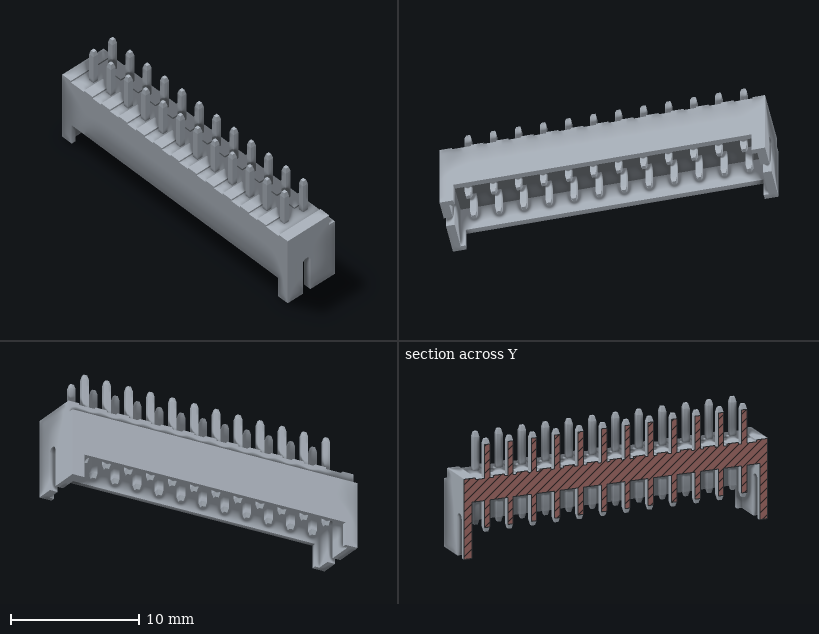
import cadquery as cq

length = 26.0
depth = 5.0
height = 6.6
end_wall = 0.7
side_wall = 0.4
leg_width = 1.1
floor_thickness = 2.0
skirt_height = 1.95

rebate_depth = 0.6
rebate_height = 1.0

slot_width = 0.8
slot_top = 3.55
slot_center_y = 2.0
slot_corner_radius = 0.35

pitch = 2.0
pins_per_row = 12
row_positions = (1.5, 3.5)
pin_width = 0.5
pin_tip_width = 0.3
pin_tip_length = 0.4
pin_top = 9.6
pin_bottom = 2.0

standoff_height = 0.15
pad_width = 1.0
end_pad_width = 1.0
channel_front = 2.0
channel_back = 3.0

pin_positions = [(i - (pins_per_row - 1) / 2) * pitch for i in range(pins_per_row)]
deck_height = height - standoff_height
back_edge = depth - rebate_depth


def box(x_min, x_max, y_min, y_max, z_min, z_max):
    """Axis-aligned block between two corners."""
    size = (x_max - x_min, y_max - y_min, z_max - z_min)
    return cq.Workplane("XY").box(*size, centered=False).translate((x_min, y_min, z_min))


def make_housing():
    """Open-bottomed shell with end legs, a back rebate and slotted end walls."""
    half = length / 2
    cavity_half = half - end_wall
    skirt_half = half - leg_width
    body = box(-half, half, 0, depth, 0, deck_height)
    rebate = box(-half, half, back_edge, depth, height - rebate_height, height)
    cavity = box(-cavity_half, cavity_half, side_wall, depth - side_wall, 0, height - floor_thickness)
    skirt_gap = box(-skirt_half, skirt_half, 0, depth, 0, skirt_height)
    slot = box(
        -half, half,
        slot_center_y - slot_width / 2, slot_center_y + slot_width / 2,
        0, slot_top,
    )
    slot = slot.edges("|X and >Z").fillet(slot_corner_radius)
    return body.cut(rebate).cut(cavity).cut(skirt_gap).cut(slot)


def make_standoffs():
    """List of end strips across the deck and pads between neighbouring pins."""
    half = length / 2
    standoffs = [
        box(-half, -half + end_pad_width, 0, back_edge, deck_height, height),
        box(half - end_pad_width, half, 0, back_edge, deck_height, height),
    ]
    for pin_x in pin_positions[:-1]:
        x_min = pin_x + (pitch - pad_width) / 2
        x_max = x_min + pad_width
        standoffs.append(box(x_min, x_max, 0, channel_front, deck_height, height))
        standoffs.append(box(x_min, x_max, channel_back, back_edge, deck_height, height))
    return standoffs


def make_pin():
    """Square pin on the Z axis, tapered at both ends."""
    shank_bottom = pin_bottom + pin_tip_length
    shank_top = pin_top - pin_tip_length
    shank = (
        cq.Workplane("XY", origin=(0, 0, shank_bottom))
        .rect(pin_width, pin_width)
        .extrude(shank_top - shank_bottom)
    )
    upper_tip = (
        cq.Workplane("XY", origin=(0, 0, shank_top))
        .rect(pin_width, pin_width)
        .workplane(offset=pin_tip_length)
        .rect(pin_tip_width, pin_tip_width)
        .loft()
    )
    lower_tip = upper_tip.mirror("XY", (0, 0, (pin_top + pin_bottom) / 2))
    return shank.union(upper_tip).union(lower_tip)


result = make_housing()
for standoff in make_standoffs():
    result = result.union(standoff)

pin = make_pin()
for row_y in row_positions:
    for pin_x in pin_positions:
        result = result.union(pin.translate((pin_x, row_y, 0)))